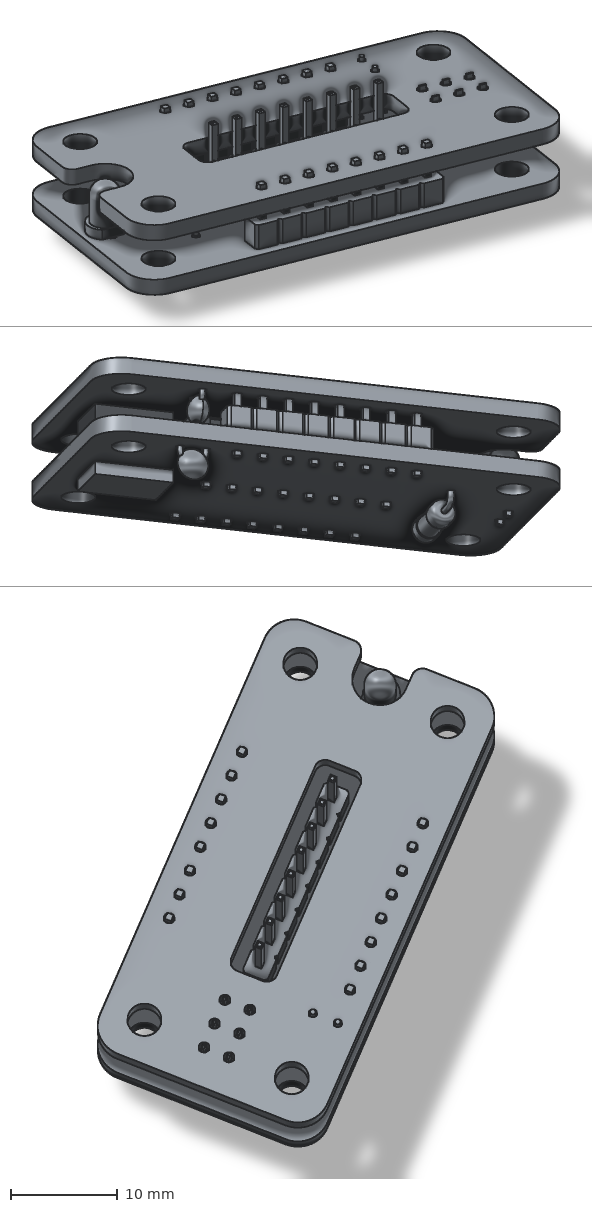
import cadquery as cq
import math


BOARD_WIDTH = 23.05
BOARD_LENGTH = 46.15
BOARD_THICKNESS = 1.6
BOARD_CORNER_RADIUS = 3.0
LOWER_TOP = BOARD_THICKNESS
UPPER_BOTTOM = 5.7
UPPER_TOP = UPPER_BOTTOM + BOARD_THICKNESS
MOUNT_HOLE_DIAMETER = 3.2
MOUNT_HOLE_X = 7.47
MOUNT_HOLE_Y = 19.0
SLOT_WIDTH = 4.6
SLOT_LENGTH = 22.45
SLOT_CORNER_RADIUS = 1.0
NOTCH_RADIUS = 2.65
NOTCH_MOUTH_RADIUS = 1.05

PITCH = 2.55
STICK_OUT = 0.4
PIN_HOLE_DIAMETER = 1.0
LED_HOLE_DIAMETER = 0.9
WIRE_HOLE_DIAMETER = 0.8
WIRE_BEND_RADIUS = 0.9

PINS_PER_HEADER = 8
HEADER_WIDTH = 2.55
HEADER_HEIGHT = 2.55
HEADER_CHAMFER = 0.28
PIN_SIZE = 0.65
PIN_TIP_CHAMFER = 0.15
SIDE_HEADER_X = 9.2
CENTRE_PIN_TOP = 10.15

LED_Y = -20.55
LED_DIAMETER = 3.0
LED_HEIGHT = 5.3
LED_FLANGE_DIAMETER = 3.8
LED_FLANGE_HEIGHT = 1.0
LED_LEAD_SIZE = 0.5

RESISTOR_Y = -13.6
RESISTOR_LENGTH = 6.28
RESISTOR_END_DIAMETER = 2.5
RESISTOR_WAIST_DIAMETER = 2.25
RESISTOR_WAIST_LENGTH = 3.0
RESISTOR_END_FILLET = 0.6
RESISTOR_WIRE_DIAMETER = 0.6
RESISTOR_WIRE_STICK_OUT = 0.2
RESISTOR_WIRE_X = 2 * PITCH

DISC_DIAMETER = 3.0
DISC_THICKNESS = 2.05
DISC_GAP = 0.1
DISC_WIRE_DIAMETER = 0.5
DISC_WIRE_STRAIGHT = 0.28
UPPER_DISC_X = -8.1
UPPER_DISC_Y = 12.35
LOWER_DISC_X = -8.95
LOWER_DISC_Y = 13.15

SWITCH_Y = 16.85
SWITCH_WIDTH = 5.15
SWITCH_LENGTH = 7.7
SWITCH_BOTTOM = -1.25
SWITCH_LEAD_ROWS = 3
SWITCH_LEAD_THICKNESS = 0.2
SWITCH_LEAD_WIDTH = 0.7


def box_between(width, length, bottom, top, x=0.0, y=0.0):
    """An upright block centred on (x, y)."""
    return cq.Workplane("XY", origin=(x, y, bottom)).rect(width, length).extrude(top - bottom)


def row_offsets(count):
    """Centred positions of a row of items at the common pitch."""
    return [(i - (count - 1) / 2) * PITCH for i in range(count)]


PIN_YS = row_offsets(PINS_PER_HEADER)
SIDE_PIN_POINTS = [(x, y) for x in (-SIDE_HEADER_X, SIDE_HEADER_X) for y in PIN_YS]
CENTRE_PIN_POINTS = [(0.0, y) for y in PIN_YS]
LED_LEAD_POINTS = [(-PITCH / 2, LED_Y), (PITCH / 2, LED_Y)]
RESISTOR_WIRE_POINTS = [(-RESISTOR_WIRE_X, RESISTOR_Y), (RESISTOR_WIRE_X, RESISTOR_Y)]
UPPER_DISC_WIRE_POINTS = [(UPPER_DISC_X + dx, UPPER_DISC_Y) for dx in row_offsets(2)]
LOWER_DISC_WIRE_POINTS = [(LOWER_DISC_X, LOWER_DISC_Y + dy) for dy in row_offsets(2)]
SWITCH_LEAD_POINTS = [(x, SWITCH_Y + dy) for x in row_offsets(2) for dy in row_offsets(SWITCH_LEAD_ROWS)]


def drill(board, points, diameter):
    """Cut round through holes in a board at the given points."""
    cutters = cq.Workplane("XY").pushPoints(points).circle(diameter / 2).extrude(UPPER_TOP)
    return board.cut(cutters)


def make_blank(bottom):
    """A rounded board with its four mounting holes."""
    blank = box_between(BOARD_WIDTH, BOARD_LENGTH, bottom, bottom + BOARD_THICKNESS)
    blank = blank.edges("|Z").fillet(BOARD_CORNER_RADIUS)
    mount_points = [(sx * MOUNT_HOLE_X, sy * MOUNT_HOLE_Y) for sx in (-1, 1) for sy in (-1, 1)]
    return drill(blank, mount_points, MOUNT_HOLE_DIAMETER)


def make_lower_board():
    board = make_blank(0.0)
    board = drill(board, SIDE_PIN_POINTS + CENTRE_PIN_POINTS, PIN_HOLE_DIAMETER)
    board = drill(board, LED_LEAD_POINTS, LED_HOLE_DIAMETER)
    board = drill(board, RESISTOR_WIRE_POINTS + LOWER_DISC_WIRE_POINTS, WIRE_HOLE_DIAMETER)
    switch_opening = box_between(SWITCH_WIDTH, SWITCH_LENGTH, 0.0, LOWER_TOP, y=SWITCH_Y)
    return board.cut(switch_opening)


def make_notch():
    """Round-ended cut around the LED, with its mouth flared by two quarter rounds."""
    edge_y = -BOARD_LENGTH / 2
    mouth_x = NOTCH_RADIUS + NOTCH_MOUTH_RADIUS
    flare_y = edge_y + NOTCH_MOUTH_RADIUS
    inset = NOTCH_MOUTH_RADIUS * (1 - math.sqrt(0.5))
    flare_mid_x = NOTCH_RADIUS + inset
    flare_mid_y = edge_y + inset
    return (
        cq.Workplane("XY", origin=(0, 0, UPPER_BOTTOM))
        .moveTo(-mouth_x, edge_y)
        .threePointArc((-flare_mid_x, flare_mid_y), (-NOTCH_RADIUS, flare_y))
        .lineTo(-NOTCH_RADIUS, LED_Y)
        .threePointArc((0, LED_Y + NOTCH_RADIUS), (NOTCH_RADIUS, LED_Y))
        .lineTo(NOTCH_RADIUS, flare_y)
        .threePointArc((flare_mid_x, flare_mid_y), (mouth_x, edge_y))
        .close()
        .extrude(BOARD_THICKNESS)
    )


def make_upper_board():
    board = make_blank(UPPER_BOTTOM)
    board = drill(board, SIDE_PIN_POINTS + SWITCH_LEAD_POINTS, PIN_HOLE_DIAMETER)
    board = drill(board, UPPER_DISC_WIRE_POINTS, WIRE_HOLE_DIAMETER)
    slot = box_between(SLOT_WIDTH, SLOT_LENGTH, UPPER_BOTTOM, UPPER_TOP)
    slot = slot.edges("|Z").fillet(SLOT_CORNER_RADIUS)
    return board.cut(slot).cut(make_notch())


def make_header(x, pin_top, tip_chamfer=0.0):
    """A row of chamfered housing blocks standing on the lower board, with square pins through them."""
    header = cq.Workplane("XY")
    for y in PIN_YS:
        block = box_between(HEADER_WIDTH, PITCH, LOWER_TOP, LOWER_TOP + HEADER_HEIGHT, x, y)
        block = block.edges("|Z").chamfer(HEADER_CHAMFER)
        pin = box_between(PIN_SIZE, PIN_SIZE, -STICK_OUT, pin_top, x, y)
        if tip_chamfer:
            pin = pin.faces(">Z").chamfer(tip_chamfer)
        header = header.union(block).union(pin)
    return header


def make_led():
    """Domed LED with a flange flattened on its +X side and two square leads."""
    radius = LED_DIAMETER / 2
    base = cq.Workplane("XY", origin=(0, LED_Y, LOWER_TOP))
    dome_base = LED_HEIGHT - radius
    flange = base.circle(LED_FLANGE_DIAMETER / 2).extrude(LED_FLANGE_HEIGHT)
    flat_cutter = box_between(LED_DIAMETER, LED_FLANGE_DIAMETER, LOWER_TOP, UPPER_TOP, LED_DIAMETER, LED_Y)
    led = flange.cut(flat_cutter).union(base.circle(radius).extrude(dome_base))
    led = led.union(cq.Workplane("XY", origin=(0, LED_Y, LOWER_TOP + dome_base)).sphere(radius))
    for x, y in LED_LEAD_POINTS:
        led = led.union(box_between(LED_LEAD_SIZE, LED_LEAD_SIZE, -STICK_OUT, LOWER_TOP, x, y))
    return led


def make_resistor():
    """Axial resistor lying under the lower board, its wires bent up through the board."""
    end_radius = RESISTOR_END_DIAMETER / 2
    half_length = RESISTOR_LENGTH / 2
    end_length = (RESISTOR_LENGTH - RESISTOR_WAIST_LENGTH) / 2
    axis_z = -end_radius
    left_end = cq.Workplane("YZ", origin=(-half_length, RESISTOR_Y, axis_z)).circle(end_radius)
    left_end = left_end.extrude(end_length).faces("<X").edges().fillet(RESISTOR_END_FILLET)
    waist = cq.Workplane("YZ", origin=(-half_length + end_length, RESISTOR_Y, axis_z))
    waist = waist.circle(RESISTOR_WAIST_DIAMETER / 2).extrude(RESISTOR_WAIST_LENGTH)
    bend_inset = WIRE_BEND_RADIUS * (1 - math.sqrt(0.5))
    wire_top = LOWER_TOP + RESISTOR_WIRE_STICK_OUT
    wire_path = (
        cq.Workplane("XZ", origin=(0, RESISTOR_Y, 0))
        .moveTo(-RESISTOR_WIRE_X, wire_top)
        .lineTo(-RESISTOR_WIRE_X, axis_z + WIRE_BEND_RADIUS)
        .threePointArc(
            (-RESISTOR_WIRE_X + bend_inset, axis_z + bend_inset),
            (-RESISTOR_WIRE_X + WIRE_BEND_RADIUS, axis_z),
        )
        .lineTo(-half_length + end_length / 2, axis_z)
    )
    wire_start = cq.Workplane("XY", origin=(-RESISTOR_WIRE_X, RESISTOR_Y, wire_top))
    left_wire = wire_start.circle(RESISTOR_WIRE_DIAMETER / 2).sweep(wire_path)
    left_half = left_end.union(left_wire)
    return waist.union(left_half).union(left_half.mirror("YZ"))


def lens_arc_point(radius, half_thickness, side):
    """A point halfway along one face arc of the lens, between its pole and its rim.

    The side is 1 for the upper face and -1 for the lower one.
    """
    arc_radius = (radius**2 + half_thickness**2) / (2 * half_thickness)
    half_angle = math.asin(radius / arc_radius) / 2
    height = half_thickness - arc_radius * (1 - math.cos(half_angle))
    return (arc_radius * math.sin(half_angle), side * height)


def make_disc_capacitor():
    """Lens-shaped disc hanging below a board with its underside at Z = 0, wires spaced along X."""
    radius = DISC_DIAMETER / 2
    half_thickness = DISC_THICKNESS / 2
    centre_z = -DISC_GAP - radius
    half_lens = (
        cq.Workplane("XY")
        .moveTo(0, -half_thickness)
        .threePointArc(lens_arc_point(radius, half_thickness, -1), (radius, 0))
        .threePointArc(lens_arc_point(radius, half_thickness, 1), (0, half_thickness))
        .close()
    )
    capacitor = half_lens.revolve(360, (0, 0, 0), (0, 1, 0)).translate((0, 0, centre_z))
    bend_x = WIRE_BEND_RADIUS * (1 - math.sqrt(0.5))
    bend_z = WIRE_BEND_RADIUS * math.sqrt(0.5)
    left_x = -PITCH / 2
    wire_top = BOARD_THICKNESS + STICK_OUT
    wire_path = (
        cq.Workplane("XZ")
        .moveTo(left_x, wire_top)
        .lineTo(left_x, -DISC_WIRE_STRAIGHT)
        .threePointArc(
            (left_x + bend_x, -DISC_WIRE_STRAIGHT - bend_z),
            (left_x + WIRE_BEND_RADIUS, -DISC_WIRE_STRAIGHT - WIRE_BEND_RADIUS),
        )
    )
    wire_start = cq.Workplane("XY", origin=(left_x, 0, wire_top))
    left_wire = wire_start.circle(DISC_WIRE_DIAMETER / 2).sweep(wire_path)
    return capacitor.union(left_wire).union(left_wire.mirror("YZ"))


def make_switch():
    """Block hung under the upper board and reaching through the lower one, with flat leads on top."""
    switch = box_between(SWITCH_WIDTH, SWITCH_LENGTH, SWITCH_BOTTOM, UPPER_BOTTOM, y=SWITCH_Y)
    for x, y in SWITCH_LEAD_POINTS:
        lead_top = UPPER_TOP + STICK_OUT
        lead = box_between(SWITCH_LEAD_THICKNESS, SWITCH_LEAD_WIDTH, UPPER_BOTTOM, lead_top, x, y)
        switch = switch.union(lead)
    return switch


lower_board = make_lower_board()
upper_board = make_upper_board()
side_headers = [make_header(x, UPPER_TOP + STICK_OUT) for x in (-SIDE_HEADER_X, SIDE_HEADER_X)]
centre_header = make_header(0.0, CENTRE_PIN_TOP, PIN_TIP_CHAMFER)
led = make_led()
resistor = make_resistor()
upper_capacitor = make_disc_capacitor().translate((UPPER_DISC_X, UPPER_DISC_Y, UPPER_BOTTOM))
lower_capacitor = make_disc_capacitor().rotate((0, 0, 0), (0, 0, 1), 90)
lower_capacitor = lower_capacitor.translate((LOWER_DISC_X, LOWER_DISC_Y, 0))
switch = make_switch()

result = cq.Compound.makeCompound(
    [
        lower_board.val(),
        upper_board.val(),
        *[header.val() for header in side_headers],
        centre_header.val(),
        led.val(),
        resistor.val(),
        upper_capacitor.val(),
        lower_capacitor.val(),
        switch.val(),
    ]
)